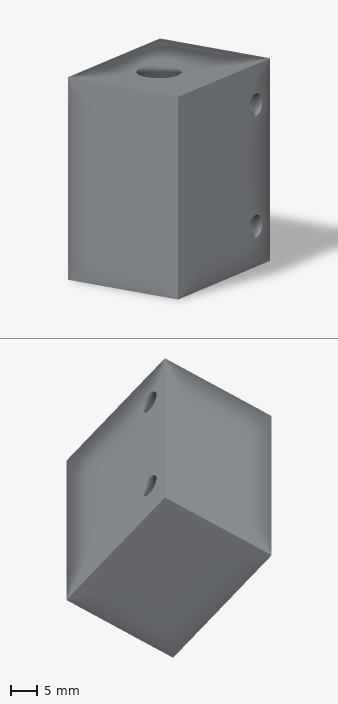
import cadquery as cq

width = 25.0
depth = 32.0
height = 40.0

bore_diameter = 8.55
bore_depth = height / 2
bore_from_front = 12.5

cross_hole_diameter = 4.5
cross_hole_from_back = 5.0
cross_hole_from_end = 8.0


def make_block():
    """Block centred in X and Y, standing on Z = 0."""
    return cq.Workplane("XY").box(width, depth, height, centered=(True, True, False))


def make_bore():
    """Flat-bottomed bore cutter, open at the top face."""
    bore_y = bore_from_front - depth / 2
    floor = cq.Workplane("XY", origin=(0, bore_y, height - bore_depth))
    return floor.circle(bore_diameter / 2).extrude(bore_depth)


def make_cross_hole(z):
    """Cutter for one through hole along X at height z."""
    hole_y = depth / 2 - cross_hole_from_back
    side = cq.Workplane("YZ", origin=(-width / 2, hole_y, z))
    return side.circle(cross_hole_diameter / 2).extrude(width)


result = make_block().cut(make_bore())
for hole_z in (cross_hole_from_end, height - cross_hole_from_end):
    result = result.cut(make_cross_hole(hole_z))